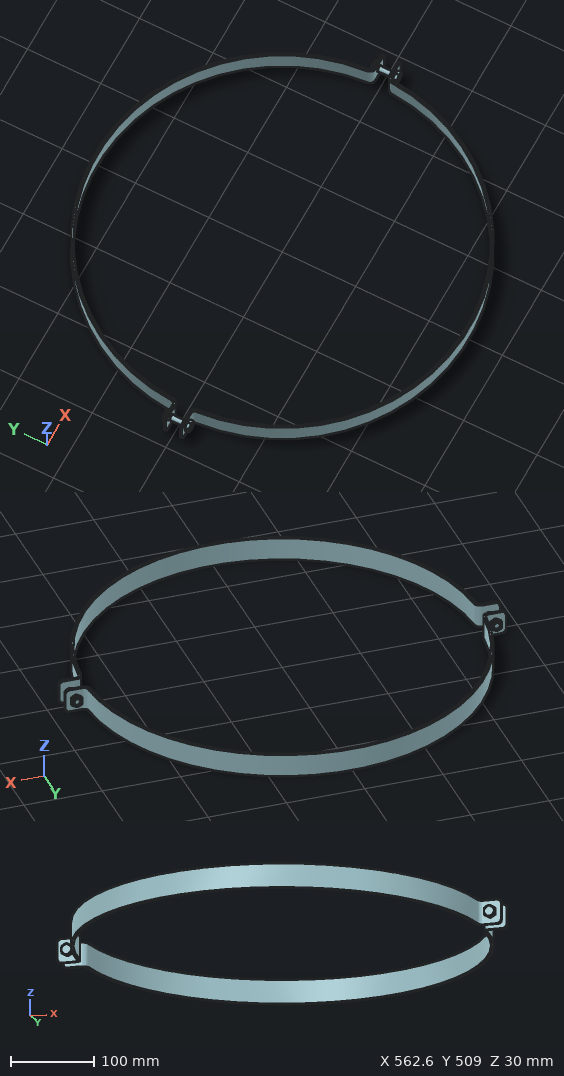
import cadquery as cq
import math

outer_radius = 254.5
strap_thickness = 3.0
strap_width = 30.0
inner_radius = outer_radius - strap_thickness
ear_gap = 19.0
ear_tip_x = 281.3
ear_corner_radius = 5.0
bend_radius = 5.0

bolt_edge_distance = 13.5
bolt_x = ear_tip_x - bolt_edge_distance
bolt_diameter = 8.0
bolt_hole_diameter = 8.5
hex_across_flats = 13.0
hex_height = 5.3
hex_across_corners = hex_across_flats / math.cos(math.radians(30))
hex_face_diameter = 12.9
chamfer_angle = math.radians(30)
chamfer_depth = (hex_across_corners - hex_face_diameter) / 2 * math.tan(chamfer_angle)

ear_inner_y = ear_gap / 2
ear_outer_y = ear_inner_y + strap_thickness
bolt_end_y = ear_outer_y + hex_height

bend_center_y = ear_outer_y + bend_radius
bend_center_x = math.sqrt((outer_radius + bend_radius) ** 2 - bend_center_y ** 2)
ring_angle = math.atan2(bend_center_y, bend_center_x)
bend_start_angle = ring_angle + math.pi
bend_end_angle = 1.5 * math.pi
bend_middle_angle = (bend_start_angle + bend_end_angle) / 2


def ring_point(radius):
    """Point on the ring where the +X bend begins."""
    return radius * math.cos(ring_angle), radius * math.sin(ring_angle)


def bend_middle(radius):
    """Point halfway round the +X bend, on its arc of the given radius."""
    return (
        bend_center_x + radius * math.cos(bend_middle_angle),
        bend_center_y + radius * math.sin(bend_middle_angle),
    )


def mirrored(point):
    """The same point on the -X side."""
    return -point[0], point[1]


def y_cylinder(x, diameter, y_start, y_end):
    """Round bar along +Y."""
    plane = cq.Workplane("XZ", origin=(x, y_start, 0))
    return plane.circle(diameter / 2).extrude(y_start - y_end)


def make_hex_block(x):
    """Hexagonal block on the +Y ear, corners at top and bottom, chamfered at its outer end."""
    plane = cq.Workplane("XZ", origin=(x, ear_outer_y, 0)).transformed(rotate=(0, 0, 90))
    block = plane.polygon(6, hex_across_corners).extrude(-hex_height)
    envelope = (
        cq.Workplane("XY", origin=(x, 0, 0))
        .moveTo(0, ear_outer_y)
        .lineTo(hex_across_corners / 2, ear_outer_y)
        .lineTo(hex_across_corners / 2, bolt_end_y - chamfer_depth)
        .lineTo(hex_face_diameter / 2, bolt_end_y)
        .lineTo(0, bolt_end_y)
        .close()
        .revolve(360, (0, 0, 0), (0, 1, 0))
    )
    return block.intersect(envelope)


def make_strap():
    """Strap half on the +Y side, with an ear at each end."""
    convex_radius = bend_radius + strap_thickness
    outer_start = ring_point(outer_radius)
    inner_start = ring_point(inner_radius)
    outer_bend = bend_middle(bend_radius)
    inner_bend = bend_middle(convex_radius)
    outer_ear = (bend_center_x, ear_outer_y)
    inner_ear = (bend_center_x, ear_inner_y)

    strap = (
        cq.Workplane("XY", origin=(0, 0, -strap_width / 2))
        .moveTo(*outer_start)
        .threePointArc((0, outer_radius), mirrored(outer_start))
        .threePointArc(mirrored(outer_bend), mirrored(outer_ear))
        .lineTo(-ear_tip_x, ear_outer_y)
        .lineTo(-ear_tip_x, ear_inner_y)
        .lineTo(*mirrored(inner_ear))
        .threePointArc(mirrored(inner_bend), mirrored(inner_start))
        .threePointArc((0, inner_radius), inner_start)
        .threePointArc(inner_bend, inner_ear)
        .lineTo(ear_tip_x, ear_inner_y)
        .lineTo(ear_tip_x, ear_outer_y)
        .lineTo(*outer_ear)
        .threePointArc(outer_bend, outer_start)
        .close()
        .extrude(strap_width)
    )
    strap = strap.edges("|Y").fillet(ear_corner_radius)
    for x in (-bolt_x, bolt_x):
        strap = strap.cut(y_cylinder(x, bolt_hole_diameter, ear_inner_y, ear_outer_y))
    return strap


def make_bolt(x):
    """Bolt with its head on the -Y ear and its shank ending flush with the nut."""
    head = make_hex_block(x).mirror("XZ")
    shank = y_cylinder(x, bolt_diameter, -ear_outer_y, bolt_end_y)
    return head.union(shank)


def make_nut(x):
    """Nut on the +Y ear."""
    return make_hex_block(x).cut(y_cylinder(x, bolt_diameter, ear_outer_y, bolt_end_y))


back_strap = make_strap()
front_strap = back_strap.mirror("XZ")
bodies = [back_strap.val(), front_strap.val()]
for side_x in (-bolt_x, bolt_x):
    bodies.append(make_bolt(side_x).val())
    bodies.append(make_nut(side_x).val())

result = cq.Compound.makeCompound(bodies)